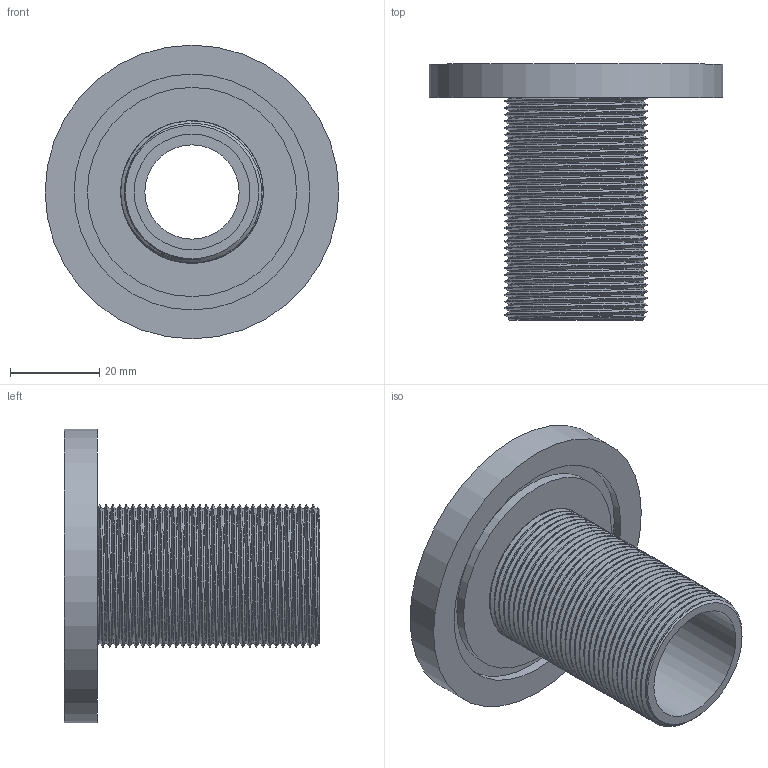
import cadquery as cq
import math

flange_diameter = 66.0
flange_thickness = 7.5
groove_outer_diameter = 53.0
groove_inner_diameter = 47.0
groove_depth = 2.1

shank_length = 50.0
thread_diameter = 32.0
thread_pitch = 1.5
tip_chamfer = 1.0

through_bore_diameter = 21.2
shank_bore_diameter = 26.0

flank_angle = 30.0
flank_slope = math.tan(math.radians(flank_angle))
sharp_thread_height = thread_pitch / 2 / flank_slope
thread_depth = 5 / 8 * sharp_thread_height
crest_radius = thread_diameter / 2
root_radius = crest_radius - thread_depth
crest_flat = thread_pitch / 8

thread_start_angle = -360 * (crest_flat / 2) / thread_pitch

thread_overrun = 2 * thread_pitch
foot_embed = 0.1


def disc(diameter, start, length):
    """Cylinder along Z beginning at height `start`."""
    return cq.Workplane("XY").workplane(offset=start).circle(diameter / 2).extrude(length)


def thread_ridge():
    """Helical ridge of trapezoidal section, overrunning both ends of the shank."""
    path = cq.Wire.makeHelix(
        thread_pitch,
        shank_length + 2 * thread_overrun,
        root_radius,
        center=cq.Vector(0, 0, -thread_overrun),
    )
    foot_radius = root_radius - foot_embed
    half_crest = crest_flat / 2
    half_foot = half_crest + (crest_radius - foot_radius) * flank_slope
    section = cq.Workplane("XZ", origin=(0, 0, -thread_overrun)).polyline(
        [
            (foot_radius, -half_foot),
            (crest_radius, -half_crest),
            (crest_radius, half_crest),
            (foot_radius, half_foot),
        ]
    ).close()
    ridge = section.sweep(cq.Workplane(obj=path), isFrenet=True)
    return ridge.rotate((0, 0, 0), (0, 0, 1), thread_start_angle)


def threaded_shank():
    """Externally threaded rod from Z = 0 up to its chamfered tip."""
    core = disc(2 * root_radius, -2 * thread_overrun, shank_length + 4 * thread_overrun)
    long_rod = core.union(thread_ridge(), clean=False)
    envelope_radius = crest_radius + tip_chamfer
    envelope = disc(2 * envelope_radius, 0, shank_length).faces(">Z").chamfer(2 * tip_chamfer)
    return long_rod.intersect(envelope, clean=False)


def flange():
    """Round plate below Z = 0 with a ring groove in the face around the shank."""
    plate = disc(flange_diameter, -flange_thickness, flange_thickness)
    groove = disc(groove_outer_diameter, -groove_depth, groove_depth)
    island = disc(groove_inner_diameter, -groove_depth, groove_depth)
    return plate.cut(groove.cut(island))


shank_bore = disc(shank_bore_diameter, 0, shank_length)
through_bore = disc(through_bore_diameter, -flange_thickness, flange_thickness)

upright_part = flange().union(threaded_shank()).cut(shank_bore).cut(through_bore)

result = upright_part.rotate((0, 0, 0), (1, 0, 0), 90)